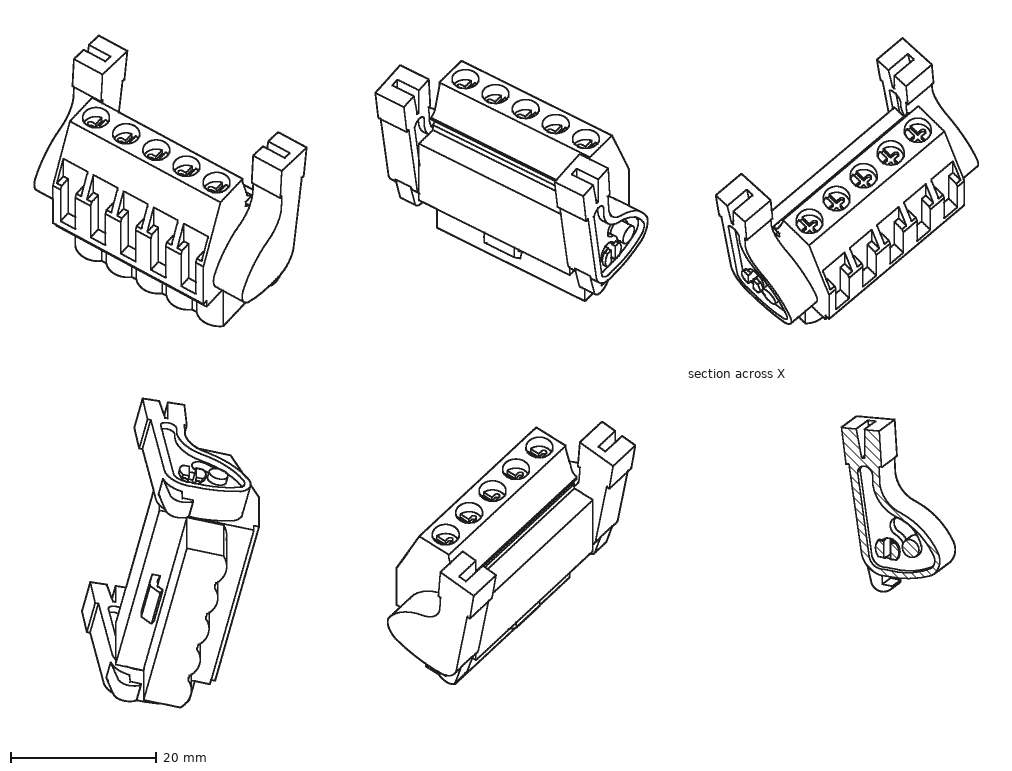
import cadquery as cq
import math


TOTAL_LENGTH = 35.1
LEVER_WIDTH = 4.85
POLES = 5
HOUSING_LENGTH = TOTAL_LENGTH - 2 * LEVER_WIDTH
POLE_PITCH = HOUSING_LENGTH / POLES
POLE_XS = [(i - (POLES - 1) / 2) * POLE_PITCH for i in range(POLES)]

HOUSING_TOP = 18.8
FRONT_WALL_TOP = 9.1
TOP_FRONT_Y = 4.05
TOP_BACK_Y = 9.3
UPPER_BACK_BOTTOM = 18.1
FRONT_STEP_DEPTH = 0.75
FRONT_STEP_HEIGHT = 1.23
BACK_WALL_Y = 10.8
SHOULDER_BACK_Y = 14.1
SHOULDER_TOP = 10.88

PLUG_HEIGHT = 8.3
PLUG_BACK_Y = 10.18
PLUG_GROOVE_Y = 5.0
PLUG_NOSE_Y = 4.07
PLUG_HALF_LENGTH = 12.5
NOSE_HALF_WIDTH = 2.18

RECESS_DEPTH = 1.8
RECESS_WIDTH = 4.1
RECESS_BOTTOM = 9.7
SLOT_WIDTH = 2.5
SLOT_BOTTOM = 2.5

LATCH_WIDTH = POLE_PITCH

SCREW_DIAMETER = 3.7
SCREW_LENGTH = 4.2
SCREW_SINK = 1.93
SCREW_Y = 6.67
DRIVE_DEPTH = 0.7
SLOT_DRIVE_WIDTH = 0.63
CROSS_DRIVE_WIDTH = 0.75
CROSS_DRIVE_LENGTH = 2.67

LEVER_TOP = 21.38
POCKET_DEPTH = 1.0
GUIDE_SLOT_DEPTH = 1.12
HEAD_SLOT_DEPTH = 3.65
HOOK_OFFSET = 1.12
HOOK_WIDTH = 2.55
PIVOT_Y = 10.55
PIVOT_Z = 3.83
PIVOT_SHAFT_RADIUS = 1.5
PIVOT_HEAD_RADIUS = 1.85
PIVOT_HEAD_HEIGHT = 2.53
PIVOT_HEAD_THICKNESS = 0.53
PIVOT_GAP = 1.02
GUIDE_RADIUS = 3.75
GUIDE_PIN_RADIUS = 1.35
GUIDE_START_ANGLE = 14.5
GUIDE_END_ANGLE = 67.5


def side_plane(x):
    """Sketch plane facing +X at the given X; its axes are Y and Z."""
    return cq.Workplane("YZ", origin=(x, 0, 0))


def box(x_range, y_range, z_range):
    """Box between pairs of X, Y and Z limits."""
    size = [b - a for a, b in (x_range, y_range, z_range)]
    return cq.Workplane("XY", origin=(x_range[0], y_range[0], z_range[0])).box(*size, centered=False)


def housing_body():
    return (
        side_plane(-HOUSING_LENGTH / 2)
        .moveTo(FRONT_STEP_DEPTH, 0)
        .lineTo(FRONT_STEP_DEPTH, FRONT_STEP_HEIGHT)
        .lineTo(0, FRONT_STEP_HEIGHT)
        .lineTo(0, FRONT_WALL_TOP)
        .lineTo(TOP_FRONT_Y, HOUSING_TOP)
        .lineTo(TOP_BACK_Y, HOUSING_TOP)
        .lineTo(TOP_BACK_Y, UPPER_BACK_BOTTOM)
        .lineTo(10.3, 14.67)
        .threePointArc((10.6, 14.0), (11.25, 13.62))
        .lineTo(11.25, 13.27)
        .lineTo(10.05, 13.27)
        .lineTo(10.05, 12.32)
        .lineTo(BACK_WALL_Y, 11.85)
        .lineTo(BACK_WALL_Y, SHOULDER_TOP)
        .lineTo(SHOULDER_BACK_Y, SHOULDER_TOP)
        .lineTo(SHOULDER_BACK_Y, 0)
        .close()
        .extrude(HOUSING_LENGTH)
    )


def nose_arc_middle(half_width):
    """Sideways and backward offset from a nose apex to the point halfway along one side of its arc."""
    sagitta = PLUG_GROOVE_Y - PLUG_NOSE_Y
    radius = (half_width**2 + sagitta**2) / (2 * sagitta)
    angle = math.asin(half_width / radius) / 2
    return radius * math.sin(angle), radius * (1 - math.cos(angle))


def plug_block():
    """Block with one rounded nose per pole; the outer noses run out to the ends of the block."""
    first, last = POLE_XS[0], POLE_XS[-1]
    inner_side, inner_back = nose_arc_middle(NOSE_HALF_WIDTH)
    outer_side, outer_back = nose_arc_middle(PLUG_HALF_LENGTH - last)

    outline = cq.Workplane("XY").moveTo(-PLUG_HALF_LENGTH, PLUG_BACK_Y)
    outline = outline.lineTo(-PLUG_HALF_LENGTH, PLUG_GROOVE_Y)
    outline = outline.threePointArc((first - outer_side, PLUG_NOSE_Y + outer_back), (first, PLUG_NOSE_Y))
    outline = outline.threePointArc(
        (first + inner_side, PLUG_NOSE_Y + inner_back), (first + NOSE_HALF_WIDTH, PLUG_GROOVE_Y)
    )
    for x in POLE_XS[1:-1]:
        outline = outline.lineTo(x - NOSE_HALF_WIDTH, PLUG_GROOVE_Y)
        outline = outline.threePointArc((x, PLUG_NOSE_Y), (x + NOSE_HALF_WIDTH, PLUG_GROOVE_Y))
    outline = outline.lineTo(last - NOSE_HALF_WIDTH, PLUG_GROOVE_Y)
    outline = outline.threePointArc((last - inner_side, PLUG_NOSE_Y + inner_back), (last, PLUG_NOSE_Y))
    outline = outline.threePointArc(
        (last + outer_side, PLUG_NOSE_Y + outer_back), (PLUG_HALF_LENGTH, PLUG_GROOVE_Y)
    )
    return outline.lineTo(PLUG_HALF_LENGTH, PLUG_BACK_Y).close().extrude(-PLUG_HEIGHT)


def latch_arm():
    """Slanted arm with a barbed end below the shoulder."""
    return (
        side_plane(-LATCH_WIDTH / 2)
        .polyline(
            [
                (11.5, 0),
                (11.9, -1.45),
                (11.85, -2.95),
                (11.13, -3.65),
                (11.5, -4.65),
                (12.95, -3.25),
                (13.0, -2.15),
                (12.65, 0),
            ]
        )
        .close()
        .extrude(LATCH_WIDTH)
    )


def pole_recess(x):
    """T-shaped recess: a wide part in the sloped face above a narrow slot in the front wall."""
    depth = (0, RECESS_DEPTH)
    wide = box((x - RECESS_WIDTH / 2, x + RECESS_WIDTH / 2), depth, (RECESS_BOTTOM, HOUSING_TOP))
    narrow = box((x - SLOT_WIDTH / 2, x + SLOT_WIDTH / 2), depth, (SLOT_BOTTOM, HOUSING_TOP))
    return wide.union(narrow)


def screw_hole(x):
    depth = SCREW_SINK + SCREW_LENGTH
    return cq.Workplane("XY", origin=(x, SCREW_Y, HOUSING_TOP)).circle(SCREW_DIAMETER / 2).extrude(-depth)


def make_housing():
    housing = housing_body().union(plug_block()).union(latch_arm())
    for x in POLE_XS:
        housing = housing.cut(pole_recess(x)).cut(screw_hole(x))
    return housing


def make_screw(x):
    """Screw filling its hole, with a straight slot across the head and a shorter crossing slot."""
    head = cq.Workplane("XY", origin=(x, SCREW_Y, HOUSING_TOP - SCREW_SINK))
    slot = head.rect(SLOT_DRIVE_WIDTH, SCREW_DIAMETER).extrude(-DRIVE_DEPTH)
    cross = head.slot2D(CROSS_DRIVE_LENGTH, CROSS_DRIVE_WIDTH).extrude(-DRIVE_DEPTH)
    return head.circle(SCREW_DIAMETER / 2).extrude(-SCREW_LENGTH).cut(slot).cut(cross)


def lever_blank(x):
    """Lever plate with a thickened head on top and a rounded foot at the bottom."""
    return (
        side_plane(x)
        .moveTo(17.7, 20.75)
        .lineTo(11.75, LEVER_TOP)
        .lineTo(11.4, 16.0)
        .lineTo(11.8, 16.0)
        .lineTo(11.65, 13.37)
        .threePointArc((10.6, 11.13), (8.53, 9.83))
        .threePointArc((5.25, 8.07), (2.6, 4.85))
        .threePointArc((2.4, 3.5), (2.85, 2.25))
        .threePointArc((3.25, 1.7), (3.83, 1.25))
        .threePointArc((7.15, 0.2), (10.67, -0.1))
        .threePointArc((13.35, 0.55), (14.55, 2.45))
        .lineTo(16.53, 15.48)
        .lineTo(17.0, 15.37)
        .close()
        .extrude(LEVER_WIDTH)
    )


def lever_pocket(x):
    return (
        side_plane(x)
        .moveTo(15.13, 14.67)
        .threePointArc((14.08, 15.62), (12.88, 14.67))
        .lineTo(12.88, 13.72)
        .threePointArc((11.6, 10.53), (9.3, 9.05))
        .threePointArc((6.1, 7.5), (3.47, 4.5))
        .threePointArc((3.3, 3.23), (3.9, 2.4))
        .threePointArc((6.3, 1.37), (8.95, 0.9))
        .lineTo(11.15, 0.9)
        .threePointArc((12.7, 1.25), (13.3, 2.2))
        .close()
        .extrude(POCKET_DEPTH)
    )


def head_slot(x):
    """Tapered slot in the lever head, closed on the +X side."""
    return (
        side_plane(x)
        .polyline([(15.4, LEVER_TOP), (14.1, LEVER_TOP), (14.1, 16.85), (14.5, 16.85)])
        .close()
        .extrude(HEAD_SLOT_DEPTH)
    )


def lever_hook(x):
    return (
        side_plane(x + HOOK_OFFSET)
        .moveTo(14.53, 2.28)
        .lineTo(13.45, -1.95)
        .threePointArc((13.0, -2.55), (12.2, -2.9))
        .threePointArc((11.1, -2.75), (10.2, -2.07))
        .lineTo(10.2, -1.8)
        .lineTo(11.75, -1.8)
        .lineTo(11.85, 0.7)
        .close()
        .extrude(HOOK_WIDTH)
    )


def on_circle(radius, angle):
    """Point on a circle about the lever pivot; the angle opens from -Y toward +Z."""
    turn = math.radians(angle)
    return PIVOT_Y - radius * math.cos(turn), PIVOT_Z + radius * math.sin(turn)


def guide_slot(x):
    """Curved slot about the pivot, with round ends, sunk into the pocket floor."""
    inner = GUIDE_RADIUS - GUIDE_PIN_RADIUS
    outer = GUIDE_RADIUS + GUIDE_PIN_RADIUS
    middle_angle = (GUIDE_START_ANGLE + GUIDE_END_ANGLE) / 2
    floor = side_plane(x + POCKET_DEPTH)
    band = (
        floor.moveTo(*on_circle(inner, GUIDE_START_ANGLE))
        .threePointArc(on_circle(inner, middle_angle), on_circle(inner, GUIDE_END_ANGLE))
        .lineTo(*on_circle(outer, GUIDE_END_ANGLE))
        .threePointArc(on_circle(outer, middle_angle), on_circle(outer, GUIDE_START_ANGLE))
        .close()
        .extrude(GUIDE_SLOT_DEPTH)
    )
    ends = [on_circle(GUIDE_RADIUS, angle) for angle in (GUIDE_START_ANGLE, GUIDE_END_ANGLE)]
    return band.union(floor.pushPoints(ends).circle(GUIDE_PIN_RADIUS).extrude(GUIDE_SLOT_DEPTH))


def guide_pin(x):
    """Round pin at the lower end of the guide slot, flush with the lever face."""
    pin = side_plane(x).moveTo(*on_circle(GUIDE_RADIUS, GUIDE_START_ANGLE))
    return pin.circle(GUIDE_PIN_RADIUS).extrude(POCKET_DEPTH + GUIDE_SLOT_DEPTH)


def pivot_stud(x):
    """Round shaft under a wider head with a flat at the top and bottom."""
    face = side_plane(x).center(PIVOT_Y, PIVOT_Z)
    shaft_base = side_plane(x + PIVOT_HEAD_THICKNESS).center(PIVOT_Y, PIVOT_Z)
    flats = face.rect(2 * PIVOT_HEAD_RADIUS, PIVOT_HEAD_HEIGHT).extrude(PIVOT_HEAD_THICKNESS)
    head = face.circle(PIVOT_HEAD_RADIUS).extrude(PIVOT_HEAD_THICKNESS).intersect(flats)
    shaft = shaft_base.circle(PIVOT_SHAFT_RADIUS).extrude(POCKET_DEPTH - PIVOT_HEAD_THICKNESS)
    return head.union(shaft)


def pivot_gap(x):
    """Upright gap splitting the stud; it runs on into the pocket floor within the shaft diameter."""
    face = side_plane(x).center(PIVOT_Y, PIVOT_Z)
    depth = POCKET_DEPTH + GUIDE_SLOT_DEPTH
    round_limit = face.circle(PIVOT_SHAFT_RADIUS).extrude(depth)
    return face.rect(PIVOT_GAP, 2 * PIVOT_SHAFT_RADIUS).extrude(depth).intersect(round_limit)


def make_lever(x):
    """Lever whose pocketed face lies at the given X."""
    lever = lever_blank(x).union(lever_hook(x))
    lever = lever.cut(lever_pocket(x)).cut(head_slot(x)).cut(guide_slot(x))
    return lever.union(guide_pin(x)).union(pivot_stud(x)).cut(pivot_gap(x))


housing = make_housing()
screws = [make_screw(x) for x in POLE_XS]
levers = [make_lever(x) for x in (-TOTAL_LENGTH / 2, HOUSING_LENGTH / 2)]

result = cq.Compound.makeCompound(
    [housing.val()] + [screw.val() for screw in screws] + [lever.val() for lever in levers]
)